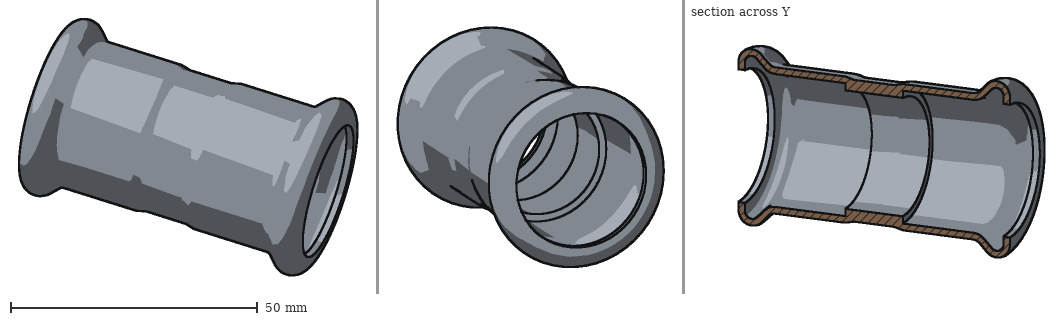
import cadquery as cq
import math

length = 61.0
outer_radius = 18.65
barrel_radius = 31.0 / 2
waist_radius = 30.0 / 2
stop_bore_radius = 12.45
wall = 1.5
bead_radius = 3.05
neck_radius = 2.0
flare_angle = math.radians(45)
taper_start = 24.05
taper_end = 26.0
taper_corner_radius = 1.8

socket_radius = barrel_radius - wall
bead_center_radius = outer_radius - bead_radius
end_x = -length / 2
bead_center_x = end_x + bead_radius
taper_start_x = end_x + taper_start
taper_end_x = end_x + taper_end
taper_angle = math.atan2(barrel_radius - waist_radius, taper_end - taper_start)
corner_setback = taper_corner_radius * math.tan(taper_angle / 2)


def arc_point(center, radius, angle):
    """Point on an arc in the (X, radial) half plane, with the angle measured from +X."""
    return center[0] + radius * math.cos(angle), center[1] + radius * math.sin(angle)


bead_center = (bead_center_x, bead_center_radius)
flare_normal = math.pi / 2 - flare_angle

neck_center_radius = barrel_radius + neck_radius
normal_distance = bead_radius + neck_radius
neck_rise = neck_center_radius - bead_center_radius
neck_center_x = bead_center_x + (
    normal_distance - neck_rise * math.sin(flare_normal)
) / math.cos(flare_normal)
neck_center = (neck_center_x, neck_center_radius)
neck_flare_angle = flare_normal + math.pi
neck_end_angle = 3 * math.pi / 2
neck_mid_angle = (neck_flare_angle + neck_end_angle) / 2


def bead_arc(profile, radius):
    """Arc from the flat end wall over the crown of the bead to the flare."""
    mid = arc_point(bead_center, radius, (math.pi + flare_normal) / 2)
    return profile.threePointArc(mid, arc_point(bead_center, radius, flare_normal))


def neck_arc(profile, radius):
    """Straight flare followed by the concave neck down to the cylinder."""
    return profile.lineTo(*arc_point(neck_center, radius, neck_flare_angle)).threePointArc(
        arc_point(neck_center, radius, neck_mid_angle),
        arc_point(neck_center, radius, neck_end_angle),
    )


def taper_and_waist(profile):
    """Rounded taper from the barrel to the waist, ending at the middle plane."""
    slope_x = corner_setback * math.cos(taper_angle)
    slope_drop = corner_setback * math.sin(taper_angle)
    return (
        profile.lineTo(taper_start_x - corner_setback, barrel_radius)
        .tangentArcPoint((taper_start_x + slope_x, barrel_radius - slope_drop), relative=False)
        .lineTo(taper_end_x - slope_x, waist_radius + slope_drop)
        .tangentArcPoint((taper_end_x + corner_setback, waist_radius), relative=False)
        .lineTo(0, waist_radius)
    )


def half_outer_body():
    profile = cq.Workplane("XY").moveTo(end_x, 0).lineTo(end_x, bead_center_radius)
    profile = bead_arc(profile, bead_radius)
    profile = neck_arc(profile, neck_radius)
    profile = taper_and_waist(profile).lineTo(0, 0).close()
    return profile.revolve(360, (0, 0, 0), (1, 0, 0))


def half_cavity():
    """Mouth, seal groove under the bead, tube socket and narrower bore behind the tube stop."""
    groove_radius = bead_radius - wall
    lip_x = bead_center_x - groove_radius
    profile = (
        cq.Workplane("XY")
        .moveTo(end_x, 0)
        .lineTo(end_x, socket_radius)
        .lineTo(lip_x, socket_radius)
        .lineTo(lip_x, bead_center_radius)
    )
    profile = bead_arc(profile, groove_radius)
    profile = neck_arc(profile, neck_radius + wall)
    profile = (
        profile.lineTo(taper_start_x, socket_radius)
        .lineTo(taper_start_x, stop_bore_radius)
        .lineTo(0, stop_bore_radius)
        .lineTo(0, 0)
        .close()
    )
    return profile.revolve(360, (0, 0, 0), (1, 0, 0))


half_coupling = half_outer_body().cut(half_cavity())
result = half_coupling.union(half_coupling.mirror("YZ")).clean()